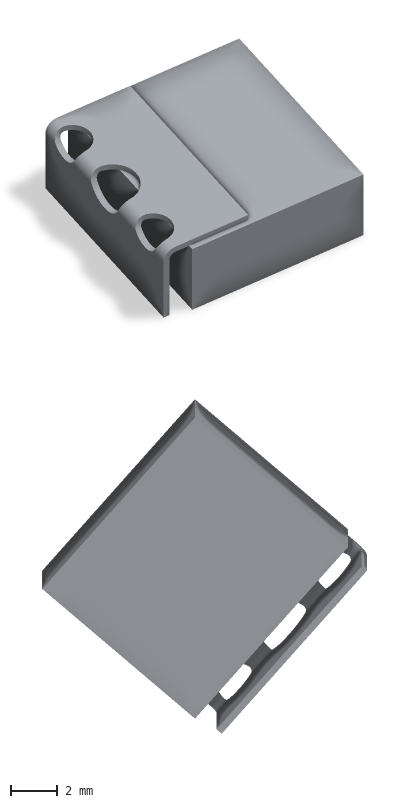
import cadquery as cq
import math

length = 10.0
body_width = 10.0
height = 3.9

sheet = 0.3
bracket_width = 9.5
bracket_reach = 4.3
inner_bend_radius = 0.3
outer_bend_radius = inner_bend_radius + sheet
neutral_bend_radius = 0.48

front_gap = 1.0
front_y = -length / 2
body_height = height - sheet
body_front_y = front_y + sheet + front_gap
body_length = length - sheet - front_gap

bend_y = front_y + outer_bend_radius
bend_z = height - outer_bend_radius
bend_arc_length = neutral_bend_radius * math.pi / 2

centre_hole_radius = 1.2
side_hole_radius = 0.9
side_hole_offset = 3.25
hole_past_bend_start = 0.18
bend_sections = 9
bend_cut_height = 1.5 * sheet


def make_body():
    """Plain rectangular block with its rear face at the back of the envelope."""
    return (
        cq.Workplane("XY", origin=(0, body_front_y + body_length / 2, 0))
        .rect(body_width, body_length)
        .extrude(body_height)
    )


def make_bracket():
    """L-shaped sheet: a flat leaf on the block, a quarter bend and a front leaf."""
    leaf_end_y = front_y + bracket_reach
    diagonal = math.sqrt(0.5)
    return (
        cq.Workplane("YZ", origin=(-bracket_width / 2, 0, 0))
        .moveTo(leaf_end_y, body_height)
        .lineTo(leaf_end_y, height)
        .lineTo(bend_y, height)
        .threePointArc(
            (bend_y - outer_bend_radius * diagonal, bend_z + outer_bend_radius * diagonal),
            (front_y, bend_z),
        )
        .lineTo(front_y, 0)
        .lineTo(front_y + sheet, 0)
        .lineTo(front_y + sheet, bend_z)
        .threePointArc(
            (bend_y - inner_bend_radius * diagonal, bend_z + inner_bend_radius * diagonal),
            (bend_y, body_height),
        )
        .close()
        .extrude(bracket_width)
    )


def bend_section(x, radius, angle):
    """Radial rectangle as wide as the punched circle at this angle round the bend."""
    distance = neutral_bend_radius * angle - hole_past_bend_start
    chord = 2 * math.sqrt(radius**2 - distance**2)
    radial_middle = inner_bend_radius + sheet / 2
    plane = cq.Plane(
        origin=(x, bend_y, bend_z),
        xDir=(1, 0, 0),
        normal=(0, -math.cos(angle), -math.sin(angle)),
    )
    return cq.Workplane(plane).center(0, radial_middle).rect(chord, bend_cut_height).wires().val()


def hole_cutters(x, radius):
    """Punched circle carried round the bend, with walls square to the sheet."""
    top_leaf_part = (
        cq.Workplane("XY", origin=(x, bend_y - hole_past_bend_start, body_height))
        .circle(radius)
        .extrude(sheet)
        .intersect(
            cq.Workplane("XY", origin=(x, bend_y + radius, body_height))
            .rect(2 * radius, 2 * radius)
            .extrude(sheet)
        )
    )
    hole_z = bend_z + bend_arc_length - hole_past_bend_start
    front_leaf_part = (
        cq.Workplane("XZ", origin=(x, front_y + sheet, hole_z))
        .circle(radius)
        .extrude(sheet)
        .intersect(
            cq.Workplane("XZ", origin=(x, front_y + sheet, bend_z - radius))
            .rect(2 * radius, 2 * radius)
            .extrude(sheet)
        )
    )
    step = math.pi / 2 / (bend_sections - 1)
    sections = [bend_section(x, radius, index * step) for index in range(bend_sections)]
    bend_part = cq.Workplane(cq.Solid.makeLoft(sections))
    return [top_leaf_part, front_leaf_part, bend_part]


bracket = make_bracket()
for hole_x, hole_radius in (
    (-side_hole_offset, side_hole_radius),
    (0, centre_hole_radius),
    (side_hole_offset, side_hole_radius),
):
    for cutter in hole_cutters(hole_x, hole_radius):
        bracket = bracket.cut(cutter)

result = make_body().union(bracket)